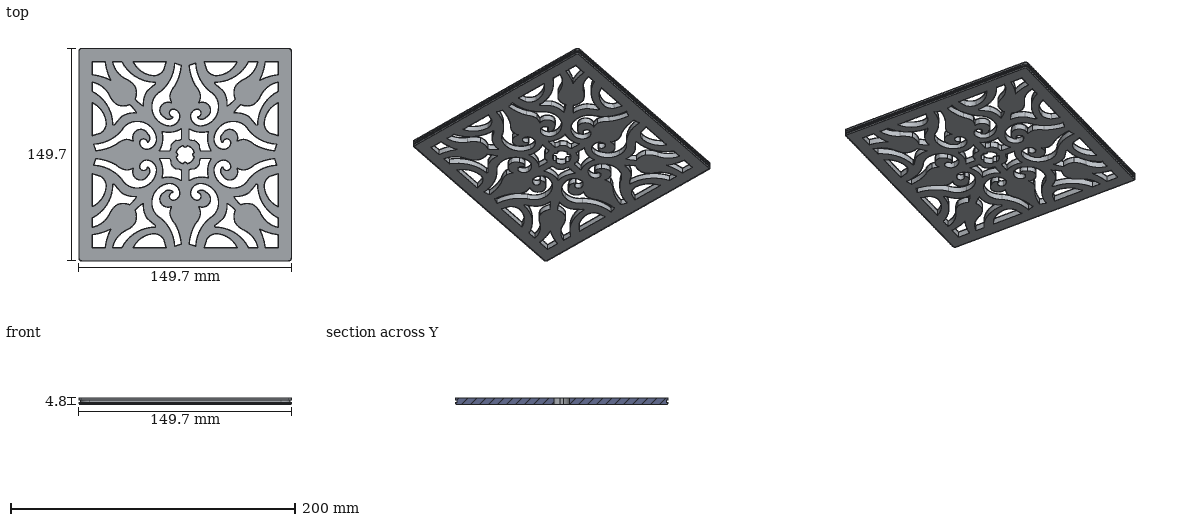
import cadquery as cq
import math

SIDE = 149.7
THICKNESS = 4.8
CORNER_RADIUS = 2.0
FLANGE_THICKNESS = THICKNESS / 3
GROOVE_DEPTH = 1.0
GROOVE_CORNER_RADIUS = 6.5
BOTTOM_CHAMFER = 0.7

FRAME_WIDTH = 9.5
WINDOW = SIDE / 2 - FRAME_WIDTH

CENTRE_RADIUS = 6.5
BUMP_HALF_WIDTH = 1.3
BUMP_DISTANCE = 5.2


def swap(point):
    """Mirror a point across the diagonal x = y."""
    return (point[1], point[0])


def clockwise(point, turns):
    """Turn a point clockwise about the origin by quarter turns."""
    x, y = point
    for _ in range(turns):
        x, y = y, -x
    return (x, y)


def rounded_square(side, height, corner_radius, base_z):
    square = cq.Workplane("XY").workplane(offset=base_z).rect(side, side).extrude(height)
    return square.edges("|Z").fillet(corner_radius)


def cutter(start, *strokes):
    """Through-cutter whose outline starts at a point and returns to it.

    A stroke is (end,) for a straight line or (middle, end) for an arc.
    """
    outline = cq.Workplane("XY").moveTo(*start)
    for stroke in strokes:
        if len(stroke) == 1:
            outline = outline.lineTo(*stroke[0])
        else:
            outline = outline.threePointArc(*stroke)
    return outline.close().extrude(THICKNESS)


def quarter_turns(shape):
    return [shape.rotate((0, 0, 0), (0, 0, 1), 90 * turn) for turn in range(4)]


def with_mirror(shape):
    """Four turned copies of a shape and of its mirror image."""
    return quarter_turns(shape) + quarter_turns(shape.mirror("YZ"))


def grooved_plate():
    bottom = rounded_square(SIDE, FLANGE_THICKNESS, CORNER_RADIUS, 0)
    bottom = bottom.faces("<Z").edges().chamfer(BOTTOM_CHAMFER)
    core = rounded_square(SIDE - 2 * GROOVE_DEPTH, THICKNESS, GROOVE_CORNER_RADIUS, 0)
    top = rounded_square(SIDE, FLANGE_THICKNESS, CORNER_RADIUS, THICKNESS - FLANGE_THICKNESS)
    return bottom.union(core).union(top)


def centre_opening():
    lobe_start = (BUMP_HALF_WIDTH, math.sqrt(CENTRE_RADIUS**2 - BUMP_HALF_WIDTH**2))
    lobe_middle = (CENTRE_RADIUS * math.cos(math.pi / 4), CENTRE_RADIUS * math.sin(math.pi / 4))
    lobe_end = swap(lobe_start)
    bump_middle = (BUMP_DISTANCE, 0)
    next_lobe_start = clockwise(lobe_start, 1)
    strokes = []
    for turns in range(4):
        strokes.append((clockwise(lobe_middle, turns), clockwise(lobe_end, turns)))
        strokes.append((clockwise(bump_middle, turns), clockwise(next_lobe_start, turns)))
    return cutter(lobe_start, *strokes)


def inner_opening():
    """Elbow-shaped opening on the diagonal, next to the centre."""
    tip = (2.7, 18.3)
    outer_corner = (16.3, 16.3)
    outer_bend = (10.5, 15.7)
    heel = (2.7, 11.0)
    heel_bend = (4.5, 10.2)
    waist = (6.5, 10.2)
    waist_middle = (8.5, 8.5)
    return cutter(
        tip,
        (outer_bend, outer_corner),
        (swap(outer_bend), swap(tip)),
        (swap(heel),),
        (swap(heel_bend), swap(waist)),
        (waist_middle, waist),
        (heel_bend, heel),
    )


def corner_opening():
    """Kite with two bowed sides, in the corner of the window."""
    shoulder = (56.5, WINDOW)
    bow = (55.1, 59.0)
    tip = (52.5, 52.5)
    return cutter(
        (WINDOW, WINDOW),
        (shoulder,),
        (bow, tip),
        (swap(bow), swap(shoulder)),
    )


def half_moon_opening():
    return cutter(
        (13.5, WINDOW),
        ((36.5, WINDOW),),
        ((30.5, 58.5), (21.7, 55.7)),
        ((17.5, 57.2), (15.3, 59.6)),
        ((14.5, 62.0), (13.5, WINDOW)),
    )


def branch_opening():
    """Three-pronged opening beside the leaf on the diagonal."""
    return cutter(
        (44.6, WINDOW),
        ((51.0, WINDOW),),
        ((47.6, 58.1), (41.9, 53.5)),
        ((38.3, 51.4), (35.0, 47.8)),
        ((34.3, 44.0), (35.2, 39.1)),
        ((32.8, 36.7), (29.5, 34.3)),
        ((28.7, 41.0), (27.0, 44.8)),
        ((24.0, 47.5), (21.0, 49.9)),
        ((21.0, 50.9),),
        ((34.7, 54.8), (44.6, WINDOW)),
    )


def scroll_opening():
    """Stem that widens and winds up into a curl."""
    return cutter(
        (2.8, 62.9),
        ((7.3, 64.4),),
        ((10.3, 53.2), (17.2, 44.6)),
        ((22.3, 39.1), (23.4, 33.4)),
        ((19.6, 24.3), (11.7, 20.4)),
        ((6.0, 22.3), (3.9, 27.0)),
        ((5.4, 30.7), (8.5, 32.0)),
        ((11.1, 29.3), (8.7, 26.7)),
        ((8.7, 26.0),),
        ((11.4, 24.9), (14.7, 26.4)),
        ((17.2, 28.7), (18.0, 31.1)),
        ((16.5, 35.0), (12.9, 37.0)),
        ((11.2, 37.0), (9.6, 36.5)),
        ((10.5, 39.0), (11.0, 41.2)),
        ((9.9, 44.8), (7.3, 48.5)),
        ((4.5, 54.8), (2.8, 62.9)),
    )


cutters = [centre_opening()]
for diagonal_opening in (inner_opening(), corner_opening()):
    cutters += quarter_turns(diagonal_opening)
for side_opening in (half_moon_opening(), branch_opening(), scroll_opening()):
    cutters += with_mirror(side_opening)

result = grooved_plate()
for opening in cutters:
    result = result.cut(opening)